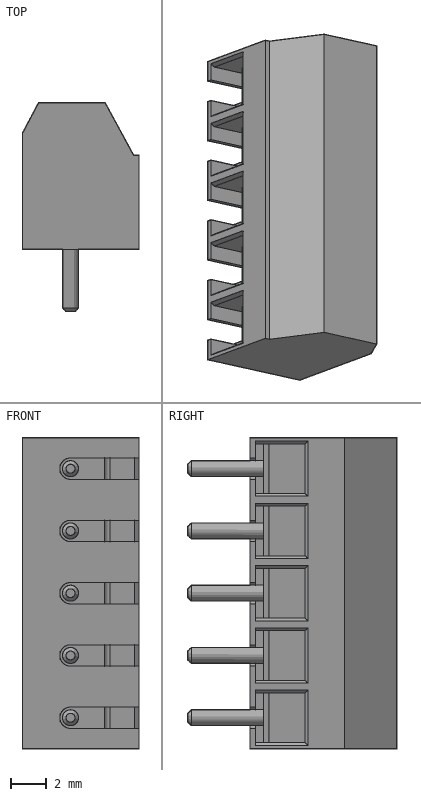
import cadquery as cq


pole_count = 5
pitch = 3.5
row_height = pole_count * pitch

housing_width = 6.55
housing_depth = 8.25
left_bevel_width = 0.9
left_bevel_depth = 1.7
top_right_x = 4.65
ledge_x = 6.25
ledge_y = 5.3

pin_x = 2.7
pin_diameter = 0.9
pin_length = 3.5
pin_tip_chamfer = 0.2

slot_width = 1.2
front_wall = 0.3

pocket_height = 2.8
pocket_back_y = 3.1
terminal_face_y = 0.75
terminal_side_x = 4.93
terminal_bend_radius = 0.33
mouth_depth = 0.25
mouth_flare = 0.15

slot_end_x = pin_x - slot_width / 2
mouth_x = housing_width - mouth_depth


def make_housing():
    """Extruded housing profile with two bevels and a small ledge."""
    outline = [
        (0, 0),
        (housing_width, 0),
        (housing_width, ledge_y),
        (ledge_x, ledge_y),
        (top_right_x, housing_depth),
        (left_bevel_width, housing_depth),
        (0, housing_depth - left_bevel_depth),
    ]
    return cq.Workplane("XY").polyline(outline).close().extrude(row_height)


def make_slot(z):
    """Slot with a round inner end around the pin, open on the +X side."""
    straight_length = housing_width - pin_x
    straight = cq.Workplane("XY").box(
        straight_length, front_wall, slot_width, centered=(False, False, True)
    ).translate((pin_x, 0, z))
    round_end = (
        cq.Workplane("XZ", origin=(pin_x, 0, z)).circle(slot_width / 2).extrude(-front_wall)
    )
    return straight.union(round_end)


def make_pocket(z):
    """Space around the bent terminal: a gap before its face and the wire chamber beside it."""
    bend_start_x = terminal_side_x - terminal_bend_radius
    bend_end_y = terminal_face_y + terminal_bend_radius
    return (
        cq.Workplane("XY", origin=(0, 0, z - pocket_height / 2))
        .moveTo(slot_end_x, front_wall)
        .lineTo(housing_width, front_wall)
        .lineTo(housing_width, pocket_back_y)
        .lineTo(terminal_side_x, pocket_back_y)
        .lineTo(terminal_side_x, bend_end_y)
        .radiusArc((bend_start_x, terminal_face_y), -terminal_bend_radius)
        .lineTo(slot_end_x, terminal_face_y)
        .close()
        .extrude(pocket_height)
    )


def make_mouth(z):
    """Flared wire entry, widening outwards on three sides and flush with the front wall."""
    inner_depth = pocket_back_y - front_wall
    outer_depth = inner_depth + mouth_flare
    outer_height = pocket_height + 2 * mouth_flare
    return (
        cq.Workplane("YZ", origin=(mouth_x, 0, z))
        .center(front_wall + inner_depth / 2, 0)
        .rect(inner_depth, pocket_height)
        .workplane(offset=mouth_depth)
        .center(mouth_flare / 2, 0)
        .rect(outer_depth, outer_height)
        .loft()
    )


def make_pin(z):
    """Round pin standing on the terminal face, with a chamfered tip."""
    return (
        cq.Workplane("XZ", origin=(pin_x, terminal_face_y, z))
        .circle(pin_diameter / 2)
        .extrude(terminal_face_y + pin_length)
        .faces("<Y")
        .chamfer(pin_tip_chamfer)
    )


result = make_housing()
for index in range(pole_count):
    pole_z = (index + 0.5) * pitch
    result = result.cut(make_slot(pole_z))
    result = result.cut(make_pocket(pole_z))
    result = result.cut(make_mouth(pole_z))
    result = result.union(make_pin(pole_z))